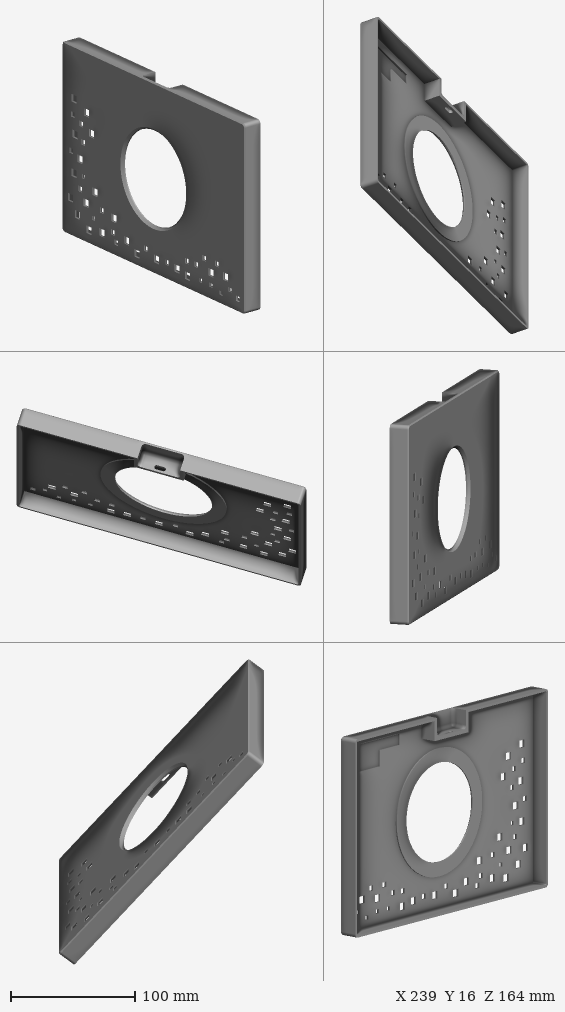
import cadquery as cq

width = 239.0
depth = 16.0
height = 164.0
corner_radius = 3.0
face_chamfer = 1.0

face_thickness = 2.0
wall_thickness = face_thickness

window_diameter = 82.0
window_flare = face_thickness
ring_diameter = 106.0
ring_height = 1.2
window_drop = 1.0

notch_width = 35.8
notch_depth = 15.5
notch_fillet = 3.0
block_wall = 3.0
block_width = notch_width + 2 * block_wall
block_height = notch_depth + block_wall

slot_length = 9.5
slot_width = 3.5
slot_back_gap = 3.5

membrane = 0.5
pocket_right = 106.8
pocket_top = 72.2
pocket_step_z = 62.9
pocket_bottom = 49.5
pocket_left_upper = 48.3
pocket_left_lower = 72.7

large_side = 6.5
large_centres = [
    (-103.7, 36.8), (-87.0, 29.6), (-80.5, 13.6), (-102.3, 6.5), (-95.8, -13.0), (-103.7, -27.2),
    (-76.2, -35.4), (-87.7, -48.3), (-108.0, -49.7), (-51.1, -50.5), (-99.5, -62.0), (-67.0, -67.6),
    (-84.1, -70.5), (-34.7, -64.8), (-21.5, -72.0), (4.3, -69.0), (31.0, -69.0), (44.7, -71.2),
    (75.5, -59.0), (94.5, -57.0),
]
medium_side = 4.5
medium_centres = [
    (-105.5, 22.7), (-94.0, 18.0), (-91.5, 2.9), (-107.3, -9.0), (-95.4, -38.5), (-67.6, -48.5),
    (-52.8, -63.0), (-48.5, -70.5), (-9.8, -64.0), (18.0, -67.6), (44.0, -58.5), (56.2, -57.8),
    (67.0, -49.2), (83.2, -49.2), (110.2, -71.0),
]
small_side = 3.5
small_centres = [
    (-91.5, -26.5), (-77.7, -58.3), (62.0, -69.8), (75.5, -69.8), (88.5, -72.7), (100.1, -66.2),
]


def block(x_min, x_max, y_min, y_max, z_min, z_max):
    """Box between the given limits."""
    box = cq.Workplane("XY").box(x_max - x_min, y_max - y_min, z_max - z_min, centered=False)
    return box.translate((x_min, y_min, z_min))


def make_shell():
    """Rounded slab with a chamfered face, hollowed from the back, plus the notch block."""
    slab = block(-width / 2, width / 2, 0, depth, -height / 2, height / 2)
    slab = slab.edges("|Y").fillet(corner_radius).faces("<Y").chamfer(face_chamfer)

    half_cavity_width = width / 2 - wall_thickness
    half_cavity_height = height / 2 - wall_thickness
    cavity = block(
        -half_cavity_width, half_cavity_width,
        face_thickness, depth,
        -half_cavity_height, half_cavity_height,
    )
    cavity = cavity.edges("|Y").fillet(corner_radius - wall_thickness)
    notch_block = block(
        -block_width / 2, block_width / 2,
        face_thickness, depth,
        height / 2 - block_height, height / 2,
    )
    return slab.cut(cavity.cut(notch_block))


def make_window():
    """Round cutter whose front end widens towards the face."""
    radius = window_diameter / 2
    profile = [
        (0, 0), (radius + window_flare, 0), (radius, window_flare), (radius, depth), (0, depth),
    ]
    cutter = cq.Workplane("XY").polyline(profile).close().revolve(360, (0, 0, 0), (0, 1, 0))
    return cutter.translate((0, 0, -window_drop))


def make_ring():
    """Low round boss on the inner side of the face, concentric with the window."""
    ring = cq.Workplane("XZ", origin=(0, face_thickness, -window_drop)).circle(ring_diameter / 2)
    return ring.extrude(-ring_height)


def make_notch():
    """Plug notch, open at the top and the back, with rounded inner edges, and its port slot."""
    top = height / 2
    notch = block(
        -notch_width / 2, notch_width / 2,
        face_thickness, depth,
        top - notch_depth, top,
    )
    notch = notch.edges("|Z and <Y").fillet(notch_fillet)
    notch = notch.faces("<Z").edges("not >Y").fillet(notch_fillet)
    slot = (
        cq.Workplane("XY", origin=(0, depth - slot_back_gap, top - block_height))
        .slot2D(slot_length, slot_width)
        .extrude(block_height)
    )
    return notch.union(slot)


def make_pocket():
    """L-shaped pocket cut from the inside, leaving a thin membrane of the face."""
    upper = block(
        pocket_left_upper, pocket_right, membrane, face_thickness, pocket_step_z, pocket_top
    )
    lower = block(
        pocket_left_lower, pocket_right, membrane, face_thickness, pocket_bottom, pocket_step_z
    )
    return upper.union(lower)


def make_squares(side, centres):
    """Square cutters through the face."""
    return cq.Workplane("XZ").pushPoints(centres).rect(side, side).extrude(-face_thickness)


tray = make_shell().union(make_ring())
tray = tray.cut(make_window()).cut(make_notch()).cut(make_pocket())
for side, centres in (
    (large_side, large_centres),
    (medium_side, medium_centres),
    (small_side, small_centres),
):
    tray = tray.cut(make_squares(side, centres))

result = cq.Compound.makeCompound([tray.val()])